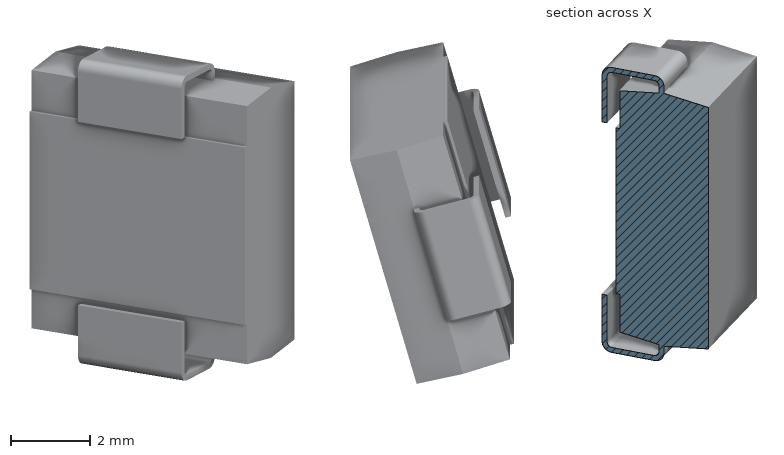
import cadquery as cq
import math

body_width = 6.248
body_half_depth = 1.22
body_parting_height = 7.14
draft_angle = 7.5
pad_height = 4.69
pad_thickness = 0.11

overall_height = 8.047
lead_width = 3.0
lead_depth = 1.71
lead_thickness = 0.152
lead_bend_radius = 0.272
lead_leg_length = 1.6
lead_embed = 0.3

parting_z = body_parting_height / 2
body_end_z = parting_z - body_half_depth * math.tan(math.radians(draft_angle))
lead_top_z = overall_height / 2
lead_root_z = parting_z - lead_embed
inner_bend_radius = lead_bend_radius - lead_thickness


def box_between(width, y_range, z_range):
    """Box centred on X that spans the given Y and Z ranges."""
    y_min, y_max = y_range
    z_min, z_max = z_range
    depth = y_max - y_min
    height = z_max - z_min
    return cq.Workplane("XY").box(width, depth, height).translate(
        (0, (y_min + y_max) / 2, (z_min + z_max) / 2)
    )


def make_body():
    """Block with drafted ends that peak on the parting plane."""
    outline = [
        (body_half_depth, -body_end_z),
        (body_half_depth, body_end_z),
        (0, parting_z),
        (-body_half_depth, body_end_z),
        (-body_half_depth, -body_end_z),
        (0, -parting_z),
    ]
    return cq.Workplane("YZ").polyline(outline).close().extrude(body_width / 2, both=True)


def make_pad():
    """Raised pad across the -Y face, between the two leads."""
    return box_between(
        body_width,
        (-body_half_depth - pad_thickness, 0),
        (-pad_height / 2, pad_height / 2),
    )


def make_upper_lead():
    """C-shaped strip: out of the body end, forward, then back along the -Y face."""
    strip = box_between(lead_width, (-lead_depth, 0), (lead_root_z, lead_top_z))
    strip = strip.edges("|X and >Z").fillet(lead_bend_radius)

    hollow = box_between(
        lead_width,
        (-lead_depth + lead_thickness, -lead_thickness),
        (lead_root_z, lead_top_z - lead_thickness),
    )
    hollow = hollow.edges("|X and >Z").fillet(inner_bend_radius)

    leg = box_between(
        lead_width,
        (-lead_depth, -lead_depth + lead_thickness),
        (lead_top_z - lead_leg_length, lead_root_z),
    )
    return strip.cut(hollow).union(leg)


upper_lead = make_upper_lead()
lower_lead = upper_lead.mirror("XY")
result = make_body().union(make_pad()).union(upper_lead).union(lower_lead)